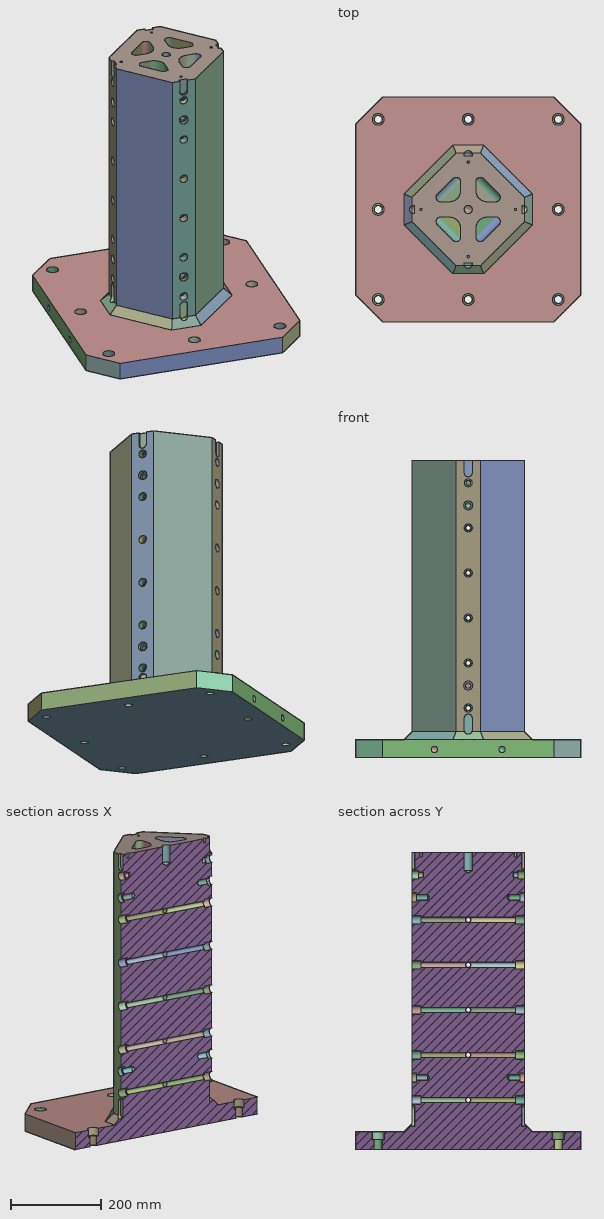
import cadquery as cq
import math

PLATE_SIZE = 500.0
PLATE_THICKNESS = 40.0
PLATE_CORNER_CHAMFER = 60.0
MOUNT_PITCH = 200.0
MOUNT_DIAMETER = 17.5
MOUNT_COUNTERBORE_DIAMETER = 26.0
MOUNT_COUNTERBORE_DEPTH = 18.0
EDGE_HOLE_SPACING = 150.0
EDGE_HOLE_HEIGHT = 18.0
EDGE_HOLE_DIAMETER = 14.0
EDGE_HOLE_DEPTH = 35.0

TOTAL_HEIGHT = 660.0
COLUMN_WIDTH = 250.0
COLUMN_DIAGONAL_WIDTH = 215.0
FACE_OFFSET = COLUMN_WIDTH / 2
FOOT_FLARE = 17.6
FOOT_HEIGHT = FOOT_FLARE

RIB_THICKNESS = 34.0
POCKET_WALL_OFFSET = 72.5
POCKET_FLOOR = PLATE_THICKNESS
POCKET_INNER_RADIUS = 25.0
POCKET_TIP_RADIUS = 10.0
POCKET_FLOOR_RADIUS = 16.0

CENTRE_HOLE_DIAMETER = 18.0
CENTRE_HOLE_DEPTH = 40.0
PIN_HOLE_DIAMETER = 5.0
PIN_HOLE_DEPTH = 10.0
PIN_HOLE_OFFSET = 105.0

HOLE_PITCH = 100.0
CROSS_HOLE_COUNT = 5
LOWEST_CROSS_HOLE = 110.0
CROSS_HOLE_DIAMETER = 10.8
CROSS_BORE_DIAMETER = 18.0
CROSS_BORE_DEPTH = 20.0
CROSS_HOLE_HEIGHTS = [LOWEST_CROSS_HOLE + i * HOLE_PITCH for i in range(CROSS_HOLE_COUNT)]

HIGHEST_CROSS_HOLE = CROSS_HOLE_HEIGHTS[-1]
TAPPED_HOLE_HEIGHTS = (LOWEST_CROSS_HOLE + HOLE_PITCH / 2, HIGHEST_CROSS_HOLE + HOLE_PITCH / 2)
TAPPED_HOLE_DIAMETER = 12.0
TAPPED_HOLE_DEPTH = 35.0
TAPPED_BORE_DIAMETER = 20.0
TAPPED_BORE_DEPTH = 10.0

STEPPED_HOLE_HEIGHT = HIGHEST_CROSS_HOLE + HOLE_PITCH
STEPPED_HOLE_DIAMETER = 10.8
STEPPED_HOLE_DEPTH = 25.0
STEPPED_BORE_DIAMETER = 17.5
STEPPED_BORE_DEPTH = 15.0

SLOT_WIDTH = 18.0
SLOT_DEPTH = 6.0
TOP_SLOT_END = 623.5
LOWER_SLOT_BOTTOM = 52.0
LOWER_SLOT_TOP = 96.5

DRILL_POINT_ANGLE = 118.0
QUARTER_TURNS = (0, 90, 180, 270)
Z_AXIS = (cq.Vector(0, 0, 0), cq.Vector(0, 0, 1))


def merge(solids):
    """Union of a list of solids."""
    merged = solids[0]
    for solid in solids[1:]:
        merged = merged.union(solid)
    return merged


def around_column(tool):
    """Union of the tool and its copies at the four quarter turns about Z."""
    return merge([tool.rotate(*Z_AXIS, angle) for angle in QUARTER_TURNS])


def bore(start, direction, diameter, depth):
    """Flat-ended cylinder running from start along direction."""
    return cq.Workplane(cq.Solid.makeCylinder(diameter / 2, depth, cq.Vector(*start), cq.Vector(*direction)))


def drilled(start, direction, diameter, depth):
    """Cylinder closed by the cone that a drill point leaves."""
    origin = cq.Vector(*start)
    axis = cq.Vector(*direction)
    point_length = diameter / 2 / math.tan(math.radians(DRILL_POINT_ANGLE / 2))
    point = cq.Solid.makeCone(diameter / 2, 0, point_length, origin + axis * depth, axis)
    return bore(start, direction, diameter, depth).union(cq.Workplane(point))


def column_outline(growth=0.0):
    """Corner points of the column section, every face moved out by growth."""
    reach = FACE_OFFSET + growth
    half_face = (COLUMN_DIAGONAL_WIDTH / 2 + growth) * math.sqrt(2) - reach
    quarter = [(reach, -half_face), (reach, half_face)]
    points = []
    for _ in QUARTER_TURNS:
        points += quarter
        quarter = [(-y, x) for x, y in quarter]
    return points


def make_plate():
    plate = cq.Workplane("XY").box(PLATE_SIZE, PLATE_SIZE, PLATE_THICKNESS, centered=(True, True, False))
    return plate.edges("|Z").chamfer(PLATE_CORNER_CHAMFER)


def make_column():
    return (
        cq.Workplane("XY", origin=(0, 0, PLATE_THICKNESS))
        .polyline(column_outline()).close()
        .extrude(TOTAL_HEIGHT - PLATE_THICKNESS)
    )


def make_foot():
    return (
        cq.Workplane("XY", origin=(0, 0, PLATE_THICKNESS))
        .polyline(column_outline(FOOT_FLARE)).close()
        .workplane(offset=FOOT_HEIGHT)
        .polyline(column_outline()).close()
        .loft(ruled=True)
    )


def mount_holes():
    """Counterbored bolt holes on a square grid, the middle one left out under the column."""
    grid = [i * MOUNT_PITCH for i in (-1, 0, 1)]
    points = [(x, y) for x in grid for y in grid if (x, y) != (0, 0)]
    through = cq.Workplane("XY").pushPoints(points).circle(MOUNT_DIAMETER / 2).extrude(PLATE_THICKNESS)
    counterbores = (
        cq.Workplane("XY", origin=(0, 0, PLATE_THICKNESS))
        .pushPoints(points)
        .circle(MOUNT_COUNTERBORE_DIAMETER / 2)
        .extrude(-MOUNT_COUNTERBORE_DEPTH)
    )
    return through.union(counterbores)


def edge_holes():
    """Pair of drilled holes in the -Y edge of the plate."""
    pair = []
    for x in (-EDGE_HOLE_SPACING / 2, EDGE_HOLE_SPACING / 2):
        start = (x, -PLATE_SIZE / 2, EDGE_HOLE_HEIGHT)
        pair.append(drilled(start, (0, 1, 0), EDGE_HOLE_DIAMETER, EDGE_HOLE_DEPTH))
    return merge(pair)


def pocket():
    """Triangular pocket of the +X +Y quadrant, rounded along the foot of its outer wall."""
    near = RIB_THICKNESS / 2
    far = POCKET_WALL_OFFSET * math.sqrt(2) - near
    prism = (
        cq.Workplane("XY", origin=(0, 0, POCKET_FLOOR))
        .polyline([(near, near), (far, near), (near, far)]).close()
        .extrude(TOTAL_HEIGHT - POCKET_FLOOR)
    )
    prism = prism.edges("|Z and <X and <Y").fillet(POCKET_INNER_RADIUS)
    prism = prism.edges("|Z").edges(">X or >Y").fillet(POCKET_TIP_RADIUS)

    corner = (
        cq.Workplane("XZ", origin=(0, far, 0))
        .moveTo(POCKET_WALL_OFFSET, POCKET_FLOOR)
        .lineTo(POCKET_WALL_OFFSET - POCKET_FLOOR_RADIUS, POCKET_FLOOR)
        .radiusArc((POCKET_WALL_OFFSET, POCKET_FLOOR + POCKET_FLOOR_RADIUS), -POCKET_FLOOR_RADIUS)
        .close()
        .extrude(2 * far)
    )
    return prism.cut(corner.rotate(*Z_AXIS, 45))


def top_face_holes():
    """Drilled centre hole and four pin holes in the top of the column."""
    down = (0, 0, -1)
    pin = bore((PIN_HOLE_OFFSET, 0, TOTAL_HEIGHT), down, PIN_HOLE_DIAMETER, PIN_HOLE_DEPTH)
    centre = drilled((0, 0, TOTAL_HEIGHT), down, CENTRE_HOLE_DIAMETER, CENTRE_HOLE_DEPTH)
    return around_column(pin).union(centre)


def face_holes():
    """Holes running inward from the +X narrow face; cross holes from opposite faces meet on the axis."""
    inward = (-1, 0, 0)
    tools = []
    for z in CROSS_HOLE_HEIGHTS:
        start = (FACE_OFFSET, 0, z)
        tools.append(bore(start, inward, CROSS_BORE_DIAMETER, CROSS_BORE_DEPTH))
        tools.append(bore(start, inward, CROSS_HOLE_DIAMETER, FACE_OFFSET))
    for z in TAPPED_HOLE_HEIGHTS:
        start = (FACE_OFFSET, 0, z)
        tools.append(bore(start, inward, TAPPED_BORE_DIAMETER, TAPPED_BORE_DEPTH))
        tools.append(drilled(start, inward, TAPPED_HOLE_DIAMETER, TAPPED_HOLE_DEPTH))
    start = (FACE_OFFSET, 0, STEPPED_HOLE_HEIGHT)
    tools.append(bore(start, inward, STEPPED_BORE_DIAMETER, STEPPED_BORE_DEPTH))
    tools.append(bore(start, inward, STEPPED_HOLE_DIAMETER, STEPPED_HOLE_DEPTH))
    return merge(tools)


def face_slots():
    """Open slot at the top of the +X narrow face and closed slot at its foot."""
    floor = FACE_OFFSET - SLOT_DEPTH
    reach = SLOT_DEPTH + FOOT_FLARE

    def slot(bottom, top):
        return (
            cq.Workplane("YZ", origin=(floor, 0, (bottom + top) / 2))
            .slot2D(top - bottom, SLOT_WIDTH, 90)
            .extrude(reach)
        )

    open_slot = slot(TOP_SLOT_END, TOTAL_HEIGHT + SLOT_WIDTH)
    closed_slot = slot(LOWER_SLOT_BOTTOM, LOWER_SLOT_TOP)
    return open_slot.union(closed_slot)


body = merge([make_plate(), make_column(), make_foot()])
body = body.cut(mount_holes()).cut(edge_holes())
body = body.cut(around_column(pocket())).cut(top_face_holes())
result = body.cut(around_column(face_holes())).cut(around_column(face_slots()))